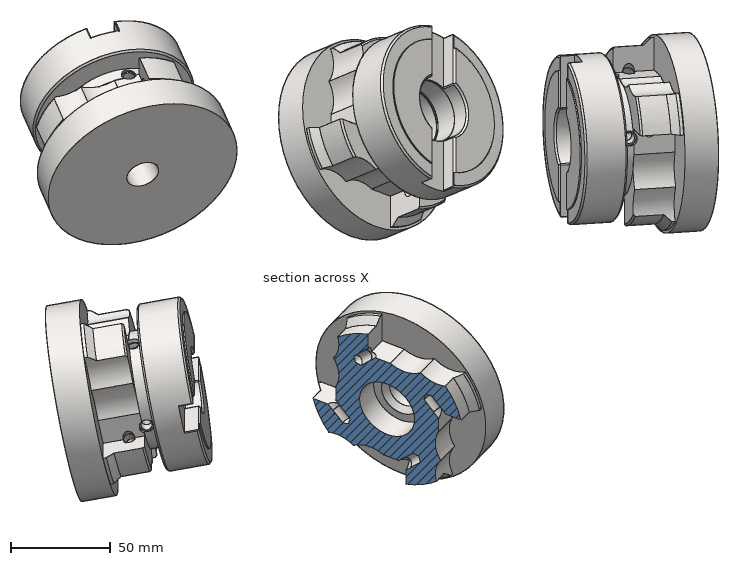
import cadquery as cq
import math

head_face_x = 0.7
slot_floor_x = 8.2
head_end_x = 22.8
lug_start_x = 29.2
lug_slope_start_x = 44.9
lug_slope_end_x = 48.8
flange_start_x = 50.5
flange_end_x = 68.0

pad_radius = 35.0
head_radius = 42.7
neck_radius = 30.0
lug_radius = 45.0
lug_root_radius = 48.6
flange_radius = 50.0
edge_chamfer = 1.0

bore_radius = 16.0
mouth_radius = 16.1
mouth_depth = 9.2
bore_groove_radius = 16.2
bore_groove_start_x = 21.2
bore_groove_width = 1.0
bore_depth = flange_start_x
through_radius = 8.4
through_mouth_radius = 11.4

slot_width = 14.6
slot_corner_chamfer = 0.5

lug_count = 4
lug_wall_y = 11.0
flat_height = 30.3
scallop_radius = 17.5
scallop_center_z = 46.0
scallop_centers_y = (-9.7, -29.7)

tip_half_angle = math.radians(59)
corner_hole_radius = 3.0
corner_hole_x = 37.2
corner_hole_step_depth = 1.0
corner_hole_inner_radius = 2.9
corner_hole_depth = 9.0
neck_hole_x = 27.3
neck_hole_y = 6.2
neck_hole_radius = 2.8
neck_hole_depth = 6.0
counterbore_radius = 3.6
counterbore_floor_z = 28.0


def turned(points):
    """Revolve a closed outline of (x, radius) points about the X axis."""
    return cq.Workplane("XY").polyline(points).close().revolve(360, (0, 0, 0), (1, 0, 0))


def make_body():
    return turned([
        (0, 0),
        (0, pad_radius),
        (head_face_x, pad_radius),
        (head_face_x, head_radius - edge_chamfer),
        (head_face_x + edge_chamfer, head_radius),
        (head_end_x - edge_chamfer, head_radius),
        (head_end_x, head_radius - edge_chamfer),
        (head_end_x, neck_radius),
        (lug_start_x, neck_radius),
        (lug_start_x, lug_radius - edge_chamfer),
        (lug_start_x + edge_chamfer, lug_radius),
        (lug_slope_start_x, lug_radius),
        (lug_slope_end_x, lug_root_radius),
        (flange_start_x, lug_root_radius),
        (flange_start_x, flange_radius),
        (flange_end_x, flange_radius),
        (flange_end_x, 0),
    ])


def make_bore():
    cone_length = through_mouth_radius - through_radius
    groove_end_x = bore_groove_start_x + bore_groove_width
    return turned([
        (0, 0),
        (0, mouth_radius + edge_chamfer),
        (edge_chamfer, mouth_radius),
        (mouth_depth, mouth_radius),
        (mouth_depth, bore_radius),
        (bore_groove_start_x, bore_radius),
        (bore_groove_start_x, bore_groove_radius),
        (groove_end_x, bore_groove_radius),
        (groove_end_x, bore_radius),
        (bore_depth, bore_radius),
        (bore_depth, through_mouth_radius),
        (bore_depth + cone_length, through_radius),
        (flange_end_x, through_radius),
        (flange_end_x, 0),
    ])


def make_slot():
    """Slot along Z with chamfered mouth edges, open through the head face."""
    half_width = slot_width / 2
    half_mouth = half_width + edge_chamfer
    return (
        cq.Workplane("XY")
        .polyline([
            (0, -half_mouth),
            (edge_chamfer, -half_width),
            (slot_floor_x, -half_width),
            (slot_floor_x, half_width),
            (edge_chamfer, half_width),
            (0, half_mouth),
        ])
        .close()
        .extrude(flange_radius, both=True)
    )


def make_pocket():
    """Gap above a flat and two scallops, beside the lug wall at y = lug_wall_y."""
    near_y, far_y = scallop_centers_y
    scallop_bottom_z = scallop_center_z - scallop_radius
    half_pitch = (near_y - far_y) / 2
    ridge_y = (near_y + far_y) / 2
    ridge_z = scallop_center_z - math.sqrt(scallop_radius**2 - half_pitch**2)
    flat_drop = scallop_center_z - flat_height
    flat_end_y = near_y + math.sqrt(scallop_radius**2 - flat_drop**2)
    outer_z = flange_radius + edge_chamfer
    return (
        cq.Workplane("YZ", origin=(lug_start_x, 0, 0))
        .moveTo(lug_wall_y, outer_z)
        .lineTo(lug_wall_y, flat_height)
        .lineTo(flat_end_y, flat_height)
        .threePointArc((near_y, scallop_bottom_z), (ridge_y, ridge_z))
        .threePointArc((far_y, scallop_bottom_z), (far_y - scallop_radius, scallop_center_z))
        .lineTo(far_y - scallop_radius, outer_z)
        .close()
        .extrude(flange_start_x - lug_start_x)
    )


def drilled(radius, length, start, direction):
    """Round hole of the given length ending in a drill point."""
    start = cq.Vector(*start)
    direction = cq.Vector(*direction).normalized()
    shank = cq.Solid.makeCylinder(radius, length, start, direction)
    tip_length = radius / math.tan(tip_half_angle)
    tip = cq.Solid.makeCone(radius, 0, tip_length, start + direction * length, direction)
    return cq.Workplane(shank.fuse(tip))


def make_corner_hole():
    """Hole drilled at 45 degrees into the corner between the flat and the lug wall."""
    lead_in = 2 * corner_hole_radius
    shift = lead_in / math.sqrt(2)
    start = (corner_hole_x, lug_wall_y - shift, flat_height + shift)
    direction = (0, 1, -1)
    entry = cq.Workplane(cq.Solid.makeCylinder(
        corner_hole_radius,
        lead_in + corner_hole_step_depth,
        cq.Vector(*start),
        cq.Vector(*direction),
    ))
    return entry.union(
        drilled(corner_hole_inner_radius, lead_in + corner_hole_depth, start, direction)
    )


def make_neck_hole():
    """Counterbored hole into the neck, parallel to Z and offset from the axis."""
    counterbore = cq.Workplane(cq.Solid.makeCylinder(
        counterbore_radius,
        head_radius - counterbore_floor_z,
        cq.Vector(neck_hole_x, neck_hole_y, counterbore_floor_z),
    ))
    start = (neck_hole_x, neck_hole_y, counterbore_floor_z)
    return counterbore.union(drilled(neck_hole_radius, neck_hole_depth, start, (0, 0, -1)))


def chamfer_slot_corners(body):
    """Break the slot corners that run along X, at the bore and at the head rim."""
    slot_zone = cq.selectors.BoxSelector(
        (0, -slot_width, -head_radius),
        (slot_floor_x, slot_width, head_radius),
    )
    return body.edges("|X").edges(slot_zone).chamfer(slot_corner_chamfer)


result = chamfer_slot_corners(make_body().cut(make_bore()).cut(make_slot()))
for index in range(lug_count):
    angle = index * 360 / lug_count
    for cutter in (make_pocket(), make_corner_hole(), make_neck_hole()):
        result = result.cut(cutter.rotate((0, 0, 0), (1, 0, 0), angle))